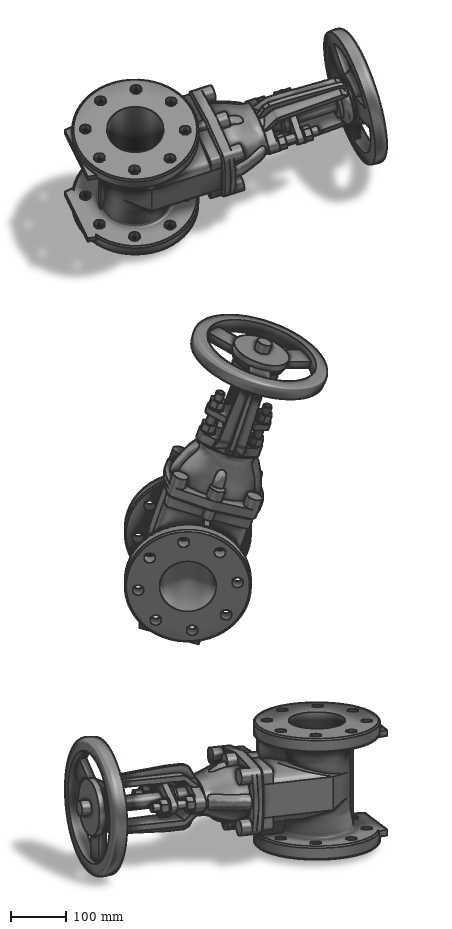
import cadquery as cq
import math


FACE_TO_FACE = 229.0
FLANGE_DIA = 228.5
FLANGE_THICK = 26.0
FLANGE_CHAMFER = 3.0
BORE_DIA = 102.0
BOLT_CIRCLE_DIA = 180.0
BOLT_HOLE_DIA = 20.0
BOLT_HOLE_COUNT = 8
FLANGE_RADIUS = FLANGE_DIA / 2
HALF_LENGTH = FACE_TO_FACE / 2
FLANGE_BACK = HALF_LENGTH - FLANGE_THICK

BARREL_RADIUS = 60.5
BARREL_HALF = 52.5
CONE_END_Z = 82.0
CONE_END_RADIUS = 66.0
ROOT_RADIUS = 73.0
ROOT_ARC_MID = (68.0, 86.5)

GROUND_Y = -114.5
FOOT_START_Y = -98.0
FOOT_HALF_WIDTH = 56.0
FOOT_THICK = 11.0
RIB_THICK = 10.0
RIB_BOTTOM_Y = -69.0
GUSSET_TOP_Y = 114.5

HOUSING_HALF_X = 80.6
HOUSING_FACE_HALF_Z = 31.5
HOUSING_SHOULDER_X = 64.6
HOUSING_SHOULDER_Z = 45.7
HOUSING_SHOULDER_MID = (40.6, 74.6)
HOUSING_CROWN_Z = 56.0
HOUSING_TIP_Y = -39.6
HOUSING_TIP_X = math.sqrt(BARREL_RADIUS**2 - HOUSING_TIP_Y**2)
HOUSING_TIP_HALF_Z = 24.0
HOUSING_WEDGE_SLOPE = 0.25

JOINT_BOTTOM_Y = 136.0
JOINT_PARTING_Y = 149.0
JOINT_TOP_Y = 158.0
BODY_PLATE_HALF_X = 89.5
BONNET_PLATE_HALF_X = 93.0
SKIRT_HALF_X = HOUSING_HALF_X - 0.05
CORNER_BOLT_X = 70.0
CORNER_BOLT_Z = 48.0
END_BOLT_Z = 57.0
CORNER_BOLTS = [(x, z) for x in (-CORNER_BOLT_X, CORNER_BOLT_X) for z in (-CORNER_BOLT_Z, CORNER_BOLT_Z)]
JOINT_BOLTS = CORNER_BOLTS + [(0.0, -END_BOLT_Z), (0.0, END_BOLT_Z)]
JOINT_UNDERSIDE_CHAMFER = 3.5
BOLT_BOSS_RADIUS = 14.7
BOLT_BOSS_TOP_Y = 178.5
BODY_BOSS_RADIUS = 11.3
SKIRT_CORNER_RADIUS = 10.5
SKIRT_END_Z = 51.0
BODY_BOSS_BOTTOM_Y = 115.5

BONNET_TOP_Y = 237.0
DOME_SECTIONS = [(JOINT_TOP_Y, 77.0, 54.0), (180.0, 73.0, 51.0), (200.0, 66.0, 45.0),
                 (220.0, 57.0, 37.0), (BONNET_TOP_Y, 55.0, 35.5)]
SIDE_LUG_RADIUS = 15.0
SIDE_LUG_STATIONS = [(JOINT_TOP_Y, 84.5), (182.0, 81.5), (198.0, 75.5), (218.0, 66.5), (232.0, 56.0)]
END_LUG_RADIUS = 12.0
END_LUG_STATIONS = [(JOINT_TOP_Y, 58.0), (180.0, 57.0), (194.0, 52.5), (210.0, 39.5)]

STUFFING_TOP_Y = 255.0
STUFFING_RADIUS = 34.0
STUFFING_EAR_RADIUS = 15.0
STUD_X = 44.5
STUD_RADIUS = 8.0
STUD_TOP_Y = 338.0
STUD_CHAMFER = 1.5
NUT_ACROSS_FLATS = 24.5
NUT_HEIGHT = 14.5
WASHER_RADIUS = 15.0
WASHER_THICK = 3.0
GLAND_PLATE_BOTTOM_Y = 292.5
GLAND_PLATE_TOP_Y = 305.0
GLAND_PLATE_RADIUS = 33.7
GLAND_EAR_RADIUS = 10.0
GLAND_EAR_X = 50.0
GLAND_COLLAR_BOTTOM_Y = 282.0
GLAND_COLLAR_RADIUS = 23.5
GLAND_LIP_BOTTOM_Y = 277.0
GLAND_LIP_RADIUS = 22.0
GLAND_RADIUS = 18.0

YOKE_TOP_Y = 410.0
ARM_TOP_Y = 406.5
ARM_TOP_ROUND = 5.0
YOKE_HUB_BOTTOM_Y = 393.5
YOKE_HUB_RADIUS = 43.0
YOKE_HUB_EDGE_ROUND = 8.15
YOKE_NUT_BOTTOM_Y = 387.0
YOKE_NUT_RADIUS = 28.7
YOKE_FOOT_HALF_X = 29.0
YOKE_BASE_HALF_X = 25.5
YOKE_HEAD_HALF_X = 20.0
YOKE_RIB_THICK = 8.5
ARM_INNER_Z = 37.2
ARM_OUTER_Z = 47.7
ARM_BEND_Y = 266.0
ARM_OUTER_BEND_Y = 264.5
ARM_BEND_RADIUS = 20.0
ARM_SHOULDER_Y = 394.0
ARM_CROWN_Z = 40.0
ARM_FOOT_INNER_Z = 18.0
ARM_FOOT_OUTER_Z = 24.0
ARM_KNEE_Z = 26.7
YOKE_RIB_OUTLINE = [
    (BONNET_TOP_Y, 20.0),
    (ARM_BEND_Y, ARM_INNER_Z + 3.0),
    (YOKE_TOP_Y, ARM_INNER_Z),
    (YOKE_TOP_Y, 44.0),
    (404.0, 51.0),
    (393.0, 54.2),
    (292.0, 61.0),
    (259.0, 61.0),
    (249.0, 56.0),
    (BONNET_TOP_Y, 35.0),
]

STEM_RADIUS = 13.7
STEM_TOP_Y = 459.8
WHEEL_DIA = 254.0
WHEEL_RADIUS = WHEEL_DIA / 2
WHEEL_BOTTOM_Y = 416.0
WHEEL_TOP_Y = 441.4
WHEEL_EQUATOR_Y = 429.0
WHEEL_DRAFT = 1.2
WHEEL_EDGE_ROUND = 9.0
RIM_INNER_RADIUS = 103.0
WHEEL_HUB_RADIUS = 52.0
WHEEL_HUB_NOSE_RADIUS = 46.5
SPOKE_WIDTH = 40.0
SPOKE_THICK = 14.0
SPOKE_ANGLES = (30, 150, 270)
WHEEL_BUSH_RADIUS = 32.5


def across_y(y):
    """Work plane square to the stem at height y; its local axes are (Z, X)."""
    return cq.Workplane("ZX", origin=(0, y, 0))


def y_cylinder(radius, y_low, y_high, x=0.0, z=0.0):
    return across_y(y_low).center(z, x).circle(radius).extrude(y_high - y_low)


def slab_yz(points, thick):
    """Outline of (y, z) points, extruded symmetrically about X = 0."""
    return cq.Workplane("YZ").polyline(points).close().extrude(thick / 2, both=True)


def slab_xy(points, thick):
    """Outline of (x, y) points, extruded symmetrically about Z = 0."""
    return cq.Workplane("XY").polyline(points).close().extrude(thick / 2, both=True)


def mirrored(half, plane):
    return half.union(half.mirror(plane))


def make_barrel():
    half = (
        cq.Workplane("XZ")
        .lineTo(BARREL_RADIUS, 0)
        .lineTo(BARREL_RADIUS, BARREL_HALF)
        .lineTo(CONE_END_RADIUS, CONE_END_Z)
        .threePointArc(ROOT_ARC_MID, (ROOT_RADIUS, FLANGE_BACK))
        .lineTo(0, FLANGE_BACK)
        .close()
        .revolve(360, (0, 0, 0), (0, 1, 0))
    )
    return mirrored(half, "XY")


def make_flanges():
    flange = (
        cq.Workplane("XY", origin=(0, 0, FLANGE_BACK))
        .circle(FLANGE_RADIUS)
        .extrude(FLANGE_THICK)
        .edges()
        .chamfer(FLANGE_CHAMFER)
    )
    foot_start_x = math.sqrt(FLANGE_RADIUS**2 - FOOT_START_Y**2)
    foot = (
        cq.Workplane("XY", origin=(0, 0, FLANGE_BACK))
        .polyline([
            (-foot_start_x, FOOT_START_Y),
            (-FOOT_HALF_WIDTH, GROUND_Y),
            (FOOT_HALF_WIDTH, GROUND_Y),
            (foot_start_x, FOOT_START_Y),
        ])
        .close()
        .extrude(FOOT_THICK)
    )
    return mirrored(flange.union(foot), "XY")


def make_ribs():
    """Central plate: rib under the barrel and gussets from housing to flanges."""
    height = GUSSET_TOP_Y - RIB_BOTTOM_Y
    return cq.Workplane("XY").box(RIB_THICK, height, 2 * FLANGE_BACK).translate(
        (0, RIB_BOTTOM_Y + height / 2, 0)
    )


def make_housing():
    mid_z, mid_x = HOUSING_SHOULDER_MID
    prism = (
        across_y(HOUSING_TIP_Y)
        .moveTo(-HOUSING_FACE_HALF_Z, HOUSING_HALF_X)
        .lineTo(HOUSING_FACE_HALF_Z, HOUSING_HALF_X)
        .threePointArc((mid_z, mid_x), (HOUSING_SHOULDER_Z, HOUSING_SHOULDER_X))
        .threePointArc((HOUSING_CROWN_Z, 0), (HOUSING_SHOULDER_Z, -HOUSING_SHOULDER_X))
        .threePointArc((mid_z, -mid_x), (HOUSING_FACE_HALF_Z, -HOUSING_HALF_X))
        .lineTo(-HOUSING_FACE_HALF_Z, -HOUSING_HALF_X)
        .threePointArc((-mid_z, -mid_x), (-HOUSING_SHOULDER_Z, -HOUSING_SHOULDER_X))
        .threePointArc((-HOUSING_CROWN_Z, 0), (-HOUSING_SHOULDER_Z, HOUSING_SHOULDER_X))
        .threePointArc((-mid_z, mid_x), (-HOUSING_FACE_HALF_Z, HOUSING_HALF_X))
        .close()
        .extrude(JOINT_BOTTOM_Y - HOUSING_TIP_Y)
    )
    side_outline = slab_xy(
        [
            (-HOUSING_TIP_X, HOUSING_TIP_Y),
            (HOUSING_TIP_X, HOUSING_TIP_Y),
            (HOUSING_HALF_X, 0),
            (HOUSING_HALF_X, JOINT_BOTTOM_Y),
            (-HOUSING_HALF_X, JOINT_BOTTOM_Y),
            (-HOUSING_HALF_X, 0),
        ],
        FACE_TO_FACE,
    )
    wide_z = HOUSING_FACE_HALF_Z + HOUSING_WEDGE_SLOPE * JOINT_BOTTOM_Y
    wedge = slab_yz(
        [
            (HOUSING_TIP_Y, -HOUSING_TIP_HALF_Z),
            (0, -HOUSING_FACE_HALF_Z),
            (JOINT_BOTTOM_Y, -wide_z),
            (JOINT_BOTTOM_Y, wide_z),
            (0, HOUSING_FACE_HALF_Z),
            (HOUSING_TIP_Y, HOUSING_TIP_HALF_Z),
        ],
        2 * HOUSING_HALF_X,
    )
    return prism.intersect(side_outline).intersect(wedge)


def make_joint_plate(boss_radius, bulge_x, end_z, y_low, y_high):
    """Plate wrapped around rounds at the corner bolts and at (0, end_z); its X sides arch to bulge_x."""
    lean = math.atan2(end_z - CORNER_BOLT_Z, CORNER_BOLT_X)
    shift_x = boss_radius * math.sin(lean)
    shift_z = boss_radius * math.cos(lean)
    corner_tip = (CORNER_BOLT_Z + shift_z, CORNER_BOLT_X + shift_x)
    reach = bulge_x - boss_radius
    arch_x = (reach**2 - CORNER_BOLT_Z**2 - CORNER_BOLT_X**2) / (2 * (reach - CORNER_BOLT_X))
    side_lean = math.atan2(CORNER_BOLT_Z, CORNER_BOLT_X - arch_x)
    middle_lean = (math.pi / 2 - lean + side_lean) / 2
    corner_middle = (
        CORNER_BOLT_Z + boss_radius * math.sin(middle_lean),
        CORNER_BOLT_X + boss_radius * math.cos(middle_lean),
    )
    corner_side = (
        CORNER_BOLT_Z + boss_radius * math.sin(side_lean),
        CORNER_BOLT_X + boss_radius * math.cos(side_lean),
    )
    end_tip = (end_z + shift_z, shift_x)
    end_middle = (end_z + boss_radius, 0)

    outline = across_y(y_low).moveTo(end_tip[0], -end_tip[1])
    for turn in (1, -1):
        outline = (
            outline.threePointArc((turn * end_middle[0], 0), (turn * end_tip[0], turn * end_tip[1]))
            .lineTo(turn * corner_tip[0], turn * corner_tip[1])
            .threePointArc(
                (turn * corner_middle[0], turn * corner_middle[1]),
                (turn * corner_side[0], turn * corner_side[1]),
            )
            .threePointArc((0, turn * bulge_x), (-turn * corner_side[0], turn * corner_side[1]))
            .threePointArc(
                (-turn * corner_middle[0], turn * corner_middle[1]),
                (-turn * corner_tip[0], turn * corner_tip[1]),
            )
            .lineTo(-turn * end_tip[0], turn * end_tip[1])
        )
    return outline.close().extrude(y_high - y_low)


def make_joint():
    body_plate = make_joint_plate(
        BOLT_BOSS_RADIUS, BODY_PLATE_HALF_X, END_BOLT_Z, JOINT_BOTTOM_Y, JOINT_PARTING_Y
    )
    body_plate = body_plate.faces("<Y").chamfer(JOINT_UNDERSIDE_CHAMFER)
    bonnet_plate = make_joint_plate(
        BOLT_BOSS_RADIUS, BONNET_PLATE_HALF_X, END_BOLT_Z, JOINT_PARTING_Y, JOINT_TOP_Y
    )
    skirt = make_joint_plate(
        SKIRT_CORNER_RADIUS, SKIRT_HALF_X, SKIRT_END_Z, BODY_BOSS_BOTTOM_Y, JOINT_BOTTOM_Y
    )
    for z in (-END_BOLT_Z, END_BOLT_Z):
        skirt = skirt.union(y_cylinder(BODY_BOSS_RADIUS, BODY_BOSS_BOTTOM_Y, JOINT_BOTTOM_Y, 0, z))
    joint = body_plate.union(bonnet_plate).union(skirt)
    for x, z in JOINT_BOLTS:
        joint = joint.union(y_cylinder(BOLT_BOSS_RADIUS, JOINT_TOP_Y, BOLT_BOSS_TOP_Y, x, z))
    return joint


def make_lug(radius, centres):
    """Round rib that follows the bonnet wall through the given circle centres."""
    circles = [cq.Wire.makeCircle(radius, cq.Vector(*centre), cq.Vector(0, 1, 0)) for centre in centres]
    return cq.Workplane(cq.Solid.makeLoft(circles))


def make_bonnet():
    sections = [
        cq.Wire.makeEllipse(half_x, half_z, cq.Vector(0, y, 0), cq.Vector(0, 1, 0), cq.Vector(1, 0, 0))
        for y, half_x, half_z in DOME_SECTIONS
    ]
    bonnet = cq.Workplane(cq.Solid.makeLoft(sections))

    side_lug = make_lug(
        SIDE_LUG_RADIUS, [(reach - SIDE_LUG_RADIUS, y, 0) for y, reach in SIDE_LUG_STATIONS]
    )
    end_lug = make_lug(
        END_LUG_RADIUS, [(0, y, reach - END_LUG_RADIUS) for y, reach in END_LUG_STATIONS]
    )
    return bonnet.union(mirrored(side_lug, "YZ")).union(mirrored(end_lug, "XY"))


def make_nut(y_low):
    corner_dia = NUT_ACROSS_FLATS / math.cos(math.radians(30))
    return across_y(y_low).center(0, STUD_X).polygon(6, corner_dia).extrude(NUT_HEIGHT)


def make_stud_set():
    """Stud, washers and nuts on the +X side of the gland."""
    stud_set = y_cylinder(STUD_RADIUS, BONNET_TOP_Y, STUD_TOP_Y, STUD_X).faces(">Y").chamfer(STUD_CHAMFER)
    for seat_y in (STUFFING_TOP_Y, GLAND_PLATE_TOP_Y):
        nut_y = seat_y + WASHER_THICK
        stud_set = stud_set.union(y_cylinder(WASHER_RADIUS, seat_y, nut_y, STUD_X))
        stud_set = stud_set.union(make_nut(nut_y))
    return stud_set


def make_eared_plate(disc_radius, ear_radius, ear_x, y_low, y_high):
    """Central disc and two ears on the X axis, joined by their outer tangents."""
    lean = math.asin((disc_radius - ear_radius) / ear_x)
    disc_tip_z = disc_radius * math.cos(lean)
    disc_tip_x = disc_radius * math.sin(lean)
    ear_tip_z = ear_radius * math.cos(lean)
    ear_tip_x = ear_x + ear_radius * math.sin(lean)
    ear_end_x = ear_x + ear_radius
    return (
        across_y(y_low)
        .moveTo(disc_tip_z, -disc_tip_x)
        .threePointArc((disc_radius, 0), (disc_tip_z, disc_tip_x))
        .lineTo(ear_tip_z, ear_tip_x)
        .threePointArc((0, ear_end_x), (-ear_tip_z, ear_tip_x))
        .lineTo(-disc_tip_z, disc_tip_x)
        .threePointArc((-disc_radius, 0), (-disc_tip_z, -disc_tip_x))
        .lineTo(-ear_tip_z, -ear_tip_x)
        .threePointArc((0, -ear_end_x), (ear_tip_z, -ear_tip_x))
        .close()
        .extrude(y_high - y_low)
    )


def make_gland():
    stuffing_box = make_eared_plate(
        STUFFING_RADIUS, STUFFING_EAR_RADIUS, STUD_X, BONNET_TOP_Y, STUFFING_TOP_Y
    )
    plate = make_eared_plate(
        GLAND_PLATE_RADIUS, GLAND_EAR_RADIUS, GLAND_EAR_X, GLAND_PLATE_BOTTOM_Y, GLAND_PLATE_TOP_Y
    )
    gland = y_cylinder(GLAND_RADIUS, STUFFING_TOP_Y, GLAND_LIP_BOTTOM_Y)
    gland = gland.union(y_cylinder(GLAND_LIP_RADIUS, GLAND_LIP_BOTTOM_Y, GLAND_COLLAR_BOTTOM_Y))
    gland = gland.union(y_cylinder(GLAND_COLLAR_RADIUS, GLAND_COLLAR_BOTTOM_Y, GLAND_PLATE_BOTTOM_Y))
    return stuffing_box.union(gland).union(plate).union(mirrored(make_stud_set(), "YZ"))


def make_yoke():
    web = slab_yz(
        [
            (BONNET_TOP_Y, ARM_FOOT_INNER_Z),
            (STUFFING_TOP_Y, ARM_KNEE_Z),
            (ARM_BEND_Y, ARM_INNER_Z),
            (ARM_TOP_Y, ARM_INNER_Z),
            (ARM_TOP_Y, ARM_CROWN_Z),
            (ARM_SHOULDER_Y, ARM_OUTER_Z),
            (ARM_OUTER_BEND_Y, ARM_OUTER_Z),
            (BONNET_TOP_Y, ARM_FOOT_OUTER_Z),
        ],
        2 * YOKE_FOOT_HALF_X,
    )
    outer_bend = cq.selectors.NearestToPointSelector((0, ARM_OUTER_BEND_Y, ARM_OUTER_Z))
    web = web.edges(outer_bend).fillet(ARM_BEND_RADIUS)
    taper = slab_xy(
        [
            (-YOKE_FOOT_HALF_X, BONNET_TOP_Y),
            (YOKE_FOOT_HALF_X, BONNET_TOP_Y),
            (YOKE_BASE_HALF_X, ARM_BEND_Y),
            (YOKE_HEAD_HALF_X, ARM_TOP_Y),
            (-YOKE_HEAD_HALF_X, ARM_TOP_Y),
            (-YOKE_BASE_HALF_X, ARM_BEND_Y),
        ],
        FACE_TO_FACE,
    )
    taper = taper.faces(">Y").edges("|Z").fillet(ARM_TOP_ROUND)
    rib = slab_yz(YOKE_RIB_OUTLINE, YOKE_RIB_THICK)
    arms = mirrored(web.intersect(taper).union(rib), "XY")

    hub = y_cylinder(YOKE_HUB_RADIUS, YOKE_HUB_BOTTOM_Y, YOKE_TOP_Y).edges().fillet(YOKE_HUB_EDGE_ROUND)
    yoke_nut = y_cylinder(YOKE_NUT_RADIUS, YOKE_NUT_BOTTOM_Y, YOKE_HUB_BOTTOM_Y)
    return arms.union(hub).union(yoke_nut)


def make_handwheel():
    wheel = (
        cq.Workplane("XY", origin=(0, WHEEL_BOTTOM_Y, 0))
        .lineTo(WHEEL_RADIUS - WHEEL_DRAFT, 0)
        .lineTo(WHEEL_RADIUS, WHEEL_EQUATOR_Y - WHEEL_BOTTOM_Y)
        .lineTo(WHEEL_RADIUS, WHEEL_TOP_Y - WHEEL_BOTTOM_Y)
        .lineTo(0, WHEEL_TOP_Y - WHEEL_BOTTOM_Y)
        .close()
        .revolve(360, (0, 0, 0), (0, 1, 0))
        .edges(">Y")
        .fillet(WHEEL_EDGE_ROUND)
    )
    height = WHEEL_TOP_Y - WHEEL_BOTTOM_Y
    opening = across_y(WHEEL_BOTTOM_Y).circle(RIM_INNER_RADIUS).extrude(height)
    hub = (
        cq.Workplane("XY", origin=(0, WHEEL_BOTTOM_Y, 0))
        .lineTo(WHEEL_HUB_NOSE_RADIUS, 0)
        .lineTo(WHEEL_HUB_RADIUS, height / 2)
        .lineTo(WHEEL_HUB_RADIUS, height)
        .lineTo(0, height)
        .close()
        .revolve(360, (0, 0, 0), (0, 1, 0))
    )
    opening = opening.cut(hub)
    for angle in SPOKE_ANGLES:
        spoke = (
            cq.Workplane("XY")
            .box(RIM_INNER_RADIUS, SPOKE_THICK, SPOKE_WIDTH)
            .translate((RIM_INNER_RADIUS / 2, WHEEL_BOTTOM_Y + SPOKE_THICK / 2, 0))
            .rotate((0, 0, 0), (0, 1, 0), -angle)
        )
        opening = opening.cut(spoke)
    bush = y_cylinder(WHEEL_BUSH_RADIUS, YOKE_TOP_Y, WHEEL_BOTTOM_Y)
    return wheel.cut(opening).union(bush)


def cut_flow_passages(body):
    bore = cq.Workplane("XY").circle(BORE_DIA / 2).extrude(HALF_LENGTH, both=True)
    bolt_holes = (
        cq.Workplane("XY", origin=(0, 0, FLANGE_BACK))
        .polarArray(BOLT_CIRCLE_DIA / 2, 180 / BOLT_HOLE_COUNT, 360, BOLT_HOLE_COUNT)
        .circle(BOLT_HOLE_DIA / 2)
        .extrude(FLANGE_THICK)
    )
    return body.cut(bore).cut(mirrored(bolt_holes, "XY"))


stem = y_cylinder(STEM_RADIUS, BONNET_TOP_Y, STEM_TOP_Y)

body = make_housing().union(make_ribs()).union(make_barrel()).union(make_flanges())
body = cut_flow_passages(body)

result = body
for component in (make_joint(), make_bonnet(), make_gland(), make_yoke(), stem, make_handwheel()):
    result = result.union(component)